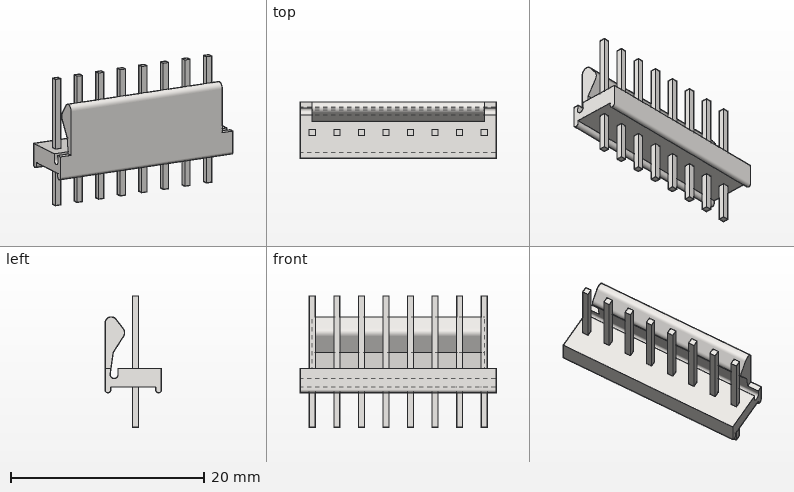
import cadquery as cq
import math


pin_count = 8
pitch = 2.54
pin_side = 0.64
pin_above_base = 7.49
pin_below_base = 3.56

base_length = pin_count * pitch
base_depth = 5.84
base_height = 2.54
back_y = 3.16
front_y = back_y - base_depth
foot_width = 0.61
foot_height = 0.61
foot_radius = foot_width / 2

groove_radius = 0.4
groove_front_y = back_y - 1.34
groove_center = (groove_front_y + groove_radius, -0.64)

latch_height = 5.33
latch_end_gap = 1.25
tip_radius = 0.635
tip_center = (back_y - tip_radius, latch_height - tip_radius)
nose_radius = 0.72
nose_reach = 2.03
nose_center = (back_y - nose_reach + nose_radius, 3.69)
knee = (back_y - 0.86, 1.65)


def along_normal(center, normal, distance):
    """Point in the YZ plane at a distance from a center along a unit normal."""
    return (center[0] + distance * normal[0], center[1] + distance * normal[1])


def tangent_normal(start, start_radius, end, end_radius):
    """Unit normal, right of travel, of the line touching two circles.

    A radius of zero stands for a plain point, a negative one for a circle of air.
    """
    span = math.dist(start, end)
    across = (end[0] - start[0]) / span
    up = (end[1] - start[1]) / span
    tilt = math.asin((start_radius - end_radius) / span)
    return (
        up * math.cos(tilt) + across * math.sin(tilt),
        -across * math.cos(tilt) + up * math.sin(tilt),
    )


def arc_middle(center, radius, first_normal, last_normal):
    """Middle of the arc between two unit normals less than half a turn apart."""
    total = (first_normal[0] + last_normal[0], first_normal[1] + last_normal[1])
    return along_normal(center, total, radius / math.hypot(*total))


def make_profile():
    """Closed YZ outline of the base, groove and latch."""
    back_normal = (1, 0)
    ramp_normal = tangent_normal(tip_center, tip_radius, nose_center, nose_radius)
    undercut_normal = tangent_normal(nose_center, nose_radius, knee, 0)
    stem_normal = tangent_normal(knee, 0, groove_center, -groove_radius)

    floor_z = -base_height
    underside_z = floor_z + foot_height
    foot_round_z = floor_z + foot_radius

    return (
        cq.Workplane("YZ", origin=(-base_length / 2, 0, 0))
        .moveTo(back_y, foot_round_z)
        .lineTo(*along_normal(tip_center, back_normal, tip_radius))
        .threePointArc(
            arc_middle(tip_center, tip_radius, back_normal, ramp_normal),
            along_normal(tip_center, ramp_normal, tip_radius),
        )
        .lineTo(*along_normal(nose_center, ramp_normal, nose_radius))
        .threePointArc(
            arc_middle(nose_center, nose_radius, ramp_normal, undercut_normal),
            along_normal(nose_center, undercut_normal, nose_radius),
        )
        .lineTo(*knee)
        .lineTo(*along_normal(groove_center, stem_normal, -groove_radius))
        .threePointArc(
            (groove_center[0], groove_center[1] - groove_radius),
            (groove_front_y, groove_center[1]),
        )
        .lineTo(groove_front_y, 0)
        .lineTo(front_y, 0)
        .lineTo(front_y, foot_round_z)
        .threePointArc(
            (front_y + foot_radius, floor_z),
            (front_y + foot_width, foot_round_z),
        )
        .lineTo(front_y + foot_width, underside_z)
        .lineTo(back_y - foot_width, underside_z)
        .lineTo(back_y - foot_width, foot_round_z)
        .threePointArc((back_y - foot_radius, floor_z), (back_y, foot_round_z))
        .close()
    )


def make_housing():
    """Base and latch, with the latch cut short at both ends of the row."""
    housing = make_profile().extrude(base_length)
    end_gap = cq.Workplane("XY").box(
        latch_end_gap, base_depth, latch_height, centered=(True, False, False)
    )
    gap_x = (base_length - latch_end_gap) / 2
    for side in (-1, 1):
        housing = housing.cut(end_gap.translate((side * gap_x, front_y, 0)))
    return housing


def make_pins():
    """Row of square pins passing through the base."""
    first_x = -(pin_count - 1) * pitch / 2
    pin_bottom = -base_height - pin_below_base
    pin_positions = [(first_x + index * pitch, 0) for index in range(pin_count)]
    return (
        cq.Workplane("XY", origin=(0, 0, pin_bottom))
        .pushPoints(pin_positions)
        .rect(pin_side, pin_side)
        .extrude(pin_above_base - pin_bottom)
    )


result = make_housing().union(make_pins())